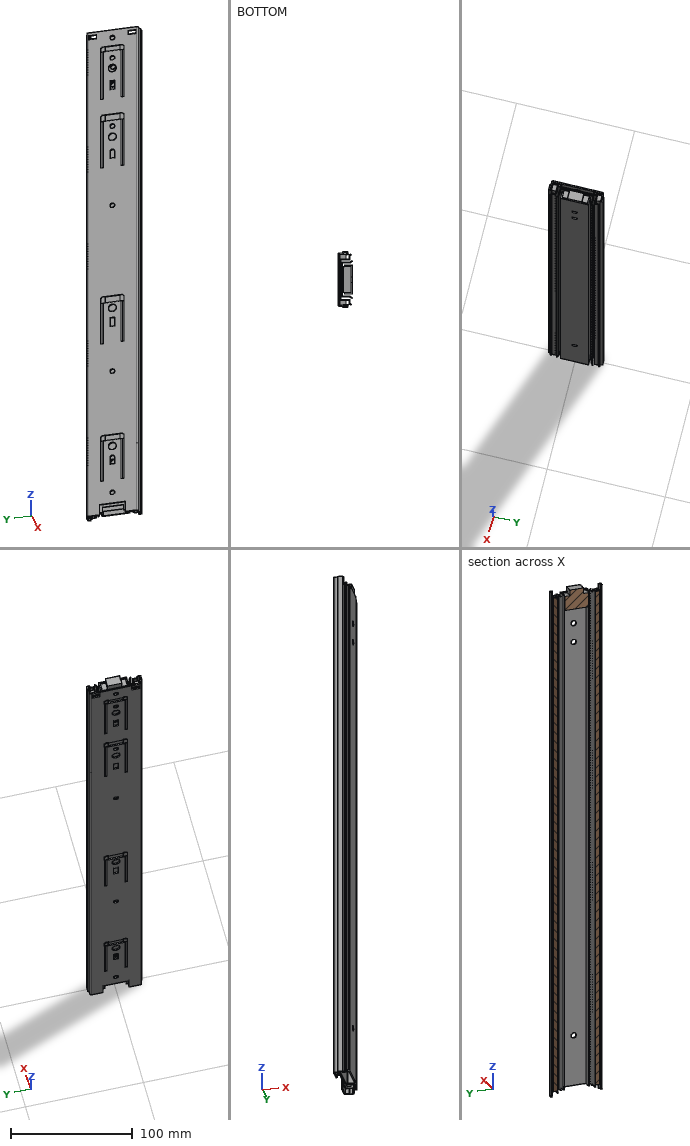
import cadquery as cq
import math


LENGTH = 450.0
WIDTH = 46.0
DEPTH = 12.0

SHEET = 1.2
FLANGE_HALF_WIDTH = 22.0
RACE_START = 4.0
RACE_END = 7.5
RACE_RAMP = 0.5
LIP_DEPTH = 8.0
LIP_HALF_WIDTH = 21.0
CORNER_RADIUS = 1.5

MIDDLE_RAIL_BOTTOM = 2.5
MIDDLE_RAIL_TOP = 445.0
INNER_RAIL_BOTTOM = 4.5
INNER_RAIL_TOP = 446.0

NOTCH_WIDTH = 22.0
NOTCH_HEIGHT = 9.5
END_SLOT_INNER = 13.5
END_SLOT_OUTER = 20.2
END_SLOT_BOTTOM = 443.5
END_SLOT_HEIGHT = 3.5
SMALL_HOLE_DIAMETER = 4.0
LARGE_HOLE_DIAMETER = 6.8
RIVET_HOLE_HEIGHTS = [19.5, 132.5, 286.5, 443.0]

TAB_FRAME_WIDTH = 20.0
TAB_WIDTH = 15.5
TAB_CORNER = 1.5
TAB_GROOVE_DEPTH = 0.68
TAB_WINDOW_WIDTH = 12.5
TAB_SLOT_HEIGHT = 8.0
TABS = [
    (435.0, 430.5, 386.5, 414.5, 398.5, False),
    (371.5, 366.0, 322.5, 350.5, 335.0, True),
    (202.5, 196.5, 159.0, 191.2, 178.0, False),
    (73.5, 68.5, 31.0, 62.5, 50.0, True),
]
PILOT_HOLE_HEIGHTS = [424.0, 360.5]

MIDDLE_SHEET = 1.0
MIDDLE_WEB_X = 2.2
MIDDLE_FLANGE_Y = 16.5
MIDDLE_LIP_X = 9.5
MIDDLE_LIP_Y = 20.0
MIDDLE_TIP_X = 11.0
MIDDLE_TIP_Y = 20.5
MIDDLE_NOTCH_WIDTH = 18.0
MIDDLE_NOTCH_TOP = 7.5

INNER_WEB_X = DEPTH - SHEET / 2
INNER_FLANGE_Y = 11.2
INNER_FLANGE_START = 5.5

CAGE_SHEET = 0.68
INNER_CAGE_WEB_X = 3.5
INNER_CAGE_Y = 14.0
INNER_CAGE_BEND_X = 10.0
INNER_CAGE_TIP_X = 11.5
INNER_CAGE_TIP_Y = 15.5
OUTER_CAGE_START = 1.5
OUTER_CAGE_END = 6.8
OUTER_CAGE_INNER = 17.0
OUTER_CAGE_OUTER = 20.5

SHOULDER_TOP = 445.0
BLOCK_WIDTH = 12.0
BLOCK_START = 4.5
BLOCK_BOTTOM = 432.0

ACCESS_HOLE_DIAMETER = 4.5
ACCESS_HOLE_HEIGHTS = [49.0, 400.0, 416.5]


def offset_path(path, distance):
    """Return the open path moved sideways by distance, with mitred corners."""
    normals = []
    for (x0, y0), (x1, y1) in zip(path, path[1:]):
        run = math.hypot(x1 - x0, y1 - y0)
        normals.append(((y0 - y1) / run, (x1 - x0) / run))
    before = [normals[0]] + normals
    after = normals + [normals[-1]]
    moved = []
    for (x, y), (ax, ay), (bx, by) in zip(path, before, after):
        mitre = distance / (1 + ax * bx + ay * by)
        moved.append((x + mitre * (ax + bx), y + mitre * (ay + by)))
    return moved


def bent_sheet(half_path, thickness, bottom, top):
    """Extrude a sheet whose mid-surface is half_path plus its mirror image in Y = 0."""
    path = half_path + [(x, -y) for x, y in reversed(half_path)]
    outline = offset_path(path, thickness / 2) + offset_path(path, -thickness / 2)[::-1]
    return cq.Workplane("XY", origin=(0, 0, bottom)).polyline(outline).close().extrude(top - bottom)


def block(x_range, y_range, z_range):
    """Make a box from its limits along each axis."""
    sizes = [high - low for low, high in (x_range, y_range, z_range)]
    corner = (x_range[0], y_range[0], z_range[0])
    return cq.Workplane("XY", origin=corner).box(*sizes, centered=False)


def drill(diameter, heights, depth):
    """Make drills along X on the centre line, from X = 0 to the given depth."""
    return cq.Workplane("YZ").pushPoints([(0, z) for z in heights]).circle(diameter / 2).extrude(depth)


def tab_frame(top, tab_top, bottom):
    """Upside-down U cut: two V-grooves as legs, and a bevelled recess with a window across the top."""
    half_frame = TAB_FRAME_WIDTH / 2
    half_tab = TAB_WIDTH / 2
    half_window = TAB_WINDOW_WIDTH / 2
    recess = block((0, TAB_GROOVE_DEPTH), (-half_frame, half_frame), (tab_top, top))
    cut = recess.edges("|X and >Z").chamfer(TAB_CORNER)
    cut = cut.union(block((0, SHEET), (-half_window, half_window), (tab_top, top)))
    for side in (-1, 1):
        v_section = [
            (0, side * half_tab),
            (TAB_GROOVE_DEPTH, side * (half_tab + half_frame) / 2),
            (0, side * half_frame),
        ]
        leg = cq.Workplane("XY", origin=(0, 0, bottom)).polyline(v_section).close()
        cut = cut.union(leg.extrude(tab_top - bottom))
    return cut


def tab_slot(height, round_top):
    """Upright slot hole, square or with a round top end."""
    radius = SMALL_HOLE_DIAMETER / 2
    bottom = height - TAB_SLOT_HEIGHT / 2
    top = height + TAB_SLOT_HEIGHT / 2
    if not round_top:
        return block((0, SHEET), (-radius, radius), (bottom, top))
    slot = block((0, SHEET), (-radius, radius), (bottom, top - radius))
    return slot.union(drill(SMALL_HOLE_DIAMETER, [top - radius], SHEET))


def make_outer_rail():
    half = SHEET / 2
    path = [
        (LIP_DEPTH, LIP_HALF_WIDTH - half),
        (RACE_END, WIDTH / 2 - half),
        (RACE_START + RACE_RAMP, WIDTH / 2 - half),
        (RACE_START, FLANGE_HALF_WIDTH - half),
        (half, FLANGE_HALF_WIDTH - half),
    ]
    rail = bent_sheet(path, SHEET, 0, LENGTH)
    rail = rail.edges("|Z and <X").fillet(CORNER_RADIUS)
    rail = rail.cut(block((0, SHEET), (-NOTCH_WIDTH / 2, NOTCH_WIDTH / 2), (0, NOTCH_HEIGHT)))
    slot_range = (END_SLOT_BOTTOM, END_SLOT_BOTTOM + END_SLOT_HEIGHT)
    for side in (-1, 1):
        y_range = sorted([side * END_SLOT_INNER, side * END_SLOT_OUTER])
        rail = rail.cut(block((0, SHEET), y_range, slot_range))
    rail = rail.cut(drill(SMALL_HOLE_DIAMETER, RIVET_HOLE_HEIGHTS + PILOT_HOLE_HEIGHTS, SHEET))
    for top, tab_top, bottom, screw_height, slot_height, round_top in TABS:
        rail = rail.cut(tab_frame(top, tab_top, bottom))
        rail = rail.cut(drill(LARGE_HOLE_DIAMETER, [screw_height], SHEET))
        rail = rail.cut(tab_slot(slot_height, round_top))
    return rail


def make_middle_rail():
    path = [
        (MIDDLE_TIP_X, MIDDLE_TIP_Y),
        (MIDDLE_LIP_X, MIDDLE_LIP_Y),
        (MIDDLE_LIP_X, MIDDLE_FLANGE_Y),
        (MIDDLE_WEB_X, MIDDLE_FLANGE_Y),
    ]
    rail = bent_sheet(path, MIDDLE_SHEET, MIDDLE_RAIL_BOTTOM, MIDDLE_RAIL_TOP)
    half_notch = MIDDLE_NOTCH_WIDTH / 2
    rail = rail.cut(block((0, DEPTH), (-half_notch, half_notch), (0, MIDDLE_NOTCH_TOP)))
    return rail.cut(drill(ACCESS_HOLE_DIAMETER, ACCESS_HOLE_HEIGHTS, DEPTH))


def make_inner_rail():
    path = [(INNER_FLANGE_START, INNER_FLANGE_Y), (INNER_WEB_X, INNER_FLANGE_Y)]
    rail = bent_sheet(path, SHEET, INNER_RAIL_BOTTOM, INNER_RAIL_TOP)
    return rail.cut(drill(ACCESS_HOLE_DIAMETER, ACCESS_HOLE_HEIGHTS, DEPTH))


def make_inner_cage():
    path = [
        (INNER_CAGE_TIP_X, INNER_CAGE_TIP_Y),
        (INNER_CAGE_BEND_X, INNER_CAGE_Y),
        (INNER_CAGE_WEB_X, INNER_CAGE_Y),
    ]
    cage = bent_sheet(path, CAGE_SHEET, INNER_RAIL_BOTTOM, MIDDLE_RAIL_TOP)
    return cage.cut(drill(ACCESS_HOLE_DIAMETER, ACCESS_HOLE_HEIGHTS, DEPTH))


def make_outer_cage(side):
    """Strip between the outer and middle rails; side is +1 or -1 along Y."""
    y_range = sorted([side * OUTER_CAGE_INNER, side * OUTER_CAGE_OUTER])
    z_range = (INNER_RAIL_BOTTOM, MIDDLE_RAIL_TOP)
    return block((OUTER_CAGE_START, OUTER_CAGE_END), y_range, z_range)


def make_stop_block():
    """Block between the inner rail's flanges, with a raised middle that covers the web's end."""
    web_face = DEPTH - SHEET
    half_shoulder = INNER_FLANGE_Y - SHEET / 2
    half_width = BLOCK_WIDTH / 2
    shoulder = block((BLOCK_START, web_face), (-half_shoulder, half_shoulder), (BLOCK_BOTTOM, SHOULDER_TOP))
    middle = block((BLOCK_START, web_face), (-half_width, half_width), (BLOCK_BOTTOM, LENGTH))
    cover = block((BLOCK_START, DEPTH), (-half_width, half_width), (INNER_RAIL_TOP, LENGTH))
    return shoulder.union(middle).union(cover)


outer_rail = make_outer_rail()
middle_rail = make_middle_rail()
inner_rail = make_inner_rail()
inner_cage = make_inner_cage()
outer_cages = [make_outer_cage(side) for side in (-1, 1)]
stop_block = make_stop_block()

result = cq.Compound.makeCompound([
    outer_rail.val(),
    middle_rail.val(),
    inner_rail.val(),
    inner_cage.val(),
    *[cage.val() for cage in outer_cages],
    stop_block.val(),
])